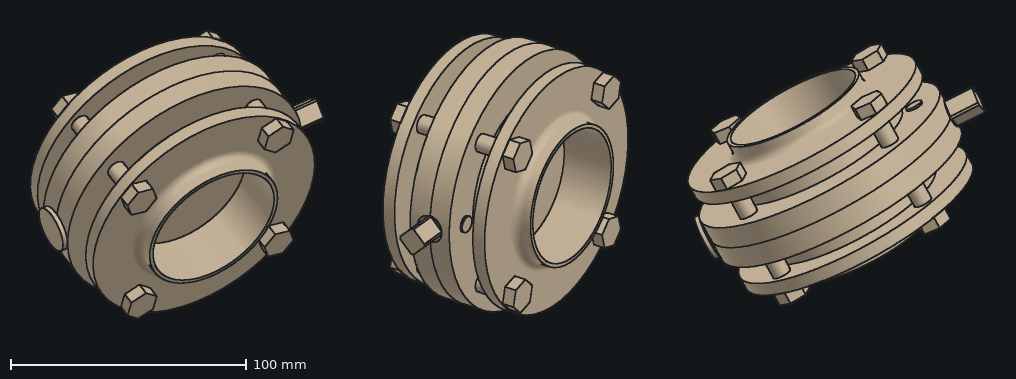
import cadquery as cq
import math

ring_radius = 58.0
ring_half_width = 10.0
hub_radius = 40.0
flange_radius = 55.0
flange_inner_x = 20.0
flange_outer_x = 26.0
pipe_outer_radius = 31.7
overall_width = 68.0
pipe_end_x = overall_width / 2
bore_radius = 30.0
weld_fillet = 4.0

bolt_count = 4
first_bolt_angle = 45
bolt_circle_radius = 48.0
rod_radius = 4.1
head_across_flats = 13.0
head_height = 5.5

boss_y = 45.8
boss_radius = 3.7
boss_height = 0.9

disc_half_thickness = ring_half_width
shaft_radius = 6.2
overall_length = 131.5
stem_top_y = 71.3
stem_square = 9.6
cap_radius = ring_half_width
cap_end_y = stem_top_y - overall_length


def y_cylinder(radius, start_y, end_y):
    """Cylinder along Y between two Y positions."""
    return cq.Workplane("XZ", origin=(0, start_y, 0)).circle(radius).extrude(start_y - end_y)


def turned_profile():
    """Ring, hub, flange and pipe of the +X half, turned about the X axis."""
    fillet_outer_radius = pipe_outer_radius + weld_fillet
    fillet_end_x = flange_outer_x + weld_fillet
    inset = weld_fillet * (1 - math.sqrt(0.5))
    return (
        cq.Workplane("XZ")
        .moveTo(0, bore_radius)
        .lineTo(0, ring_radius)
        .lineTo(ring_half_width, ring_radius)
        .lineTo(ring_half_width, hub_radius)
        .lineTo(flange_inner_x, hub_radius)
        .lineTo(flange_inner_x, flange_radius)
        .lineTo(flange_outer_x, flange_radius)
        .lineTo(flange_outer_x, fillet_outer_radius)
        .threePointArc(
            (flange_outer_x + inset, pipe_outer_radius + inset),
            (fillet_end_x, pipe_outer_radius),
        )
        .lineTo(pipe_end_x, pipe_outer_radius)
        .lineTo(pipe_end_x, bore_radius)
        .close()
        .revolve(360, (0, 0, 0), (1, 0, 0))
    )


def bolt(angle):
    """Rod from ring to flange with a hexagon head, one flat facing outward."""
    head_diameter = head_across_flats / math.cos(math.radians(30))
    rod = (
        cq.Workplane("YZ", origin=(ring_half_width, 0, 0))
        .center(bolt_circle_radius, 0)
        .circle(rod_radius)
        .extrude(flange_outer_x - ring_half_width)
    )
    head = (
        cq.Workplane("YZ", origin=(flange_outer_x, 0, 0))
        .center(bolt_circle_radius, 0)
        .transformed(rotate=(0, 0, 30))
        .polygon(6, head_diameter)
        .extrude(head_height)
    )
    return rod.union(head).rotate((0, 0, 0), (1, 0, 0), angle)


def pin_boss():
    """Short round boss on the side face of the ring, level with the shaft."""
    return (
        cq.Workplane("YZ", origin=(ring_half_width, 0, 0))
        .center(boss_y, 0)
        .circle(boss_radius)
        .extrude(boss_height)
    )


def body_half():
    """The +X half of the valve body, with its bolts and the shaft hole."""
    half = turned_profile()
    for index in range(bolt_count):
        half = half.union(bolt(first_bolt_angle + index * 360 / bolt_count))
    half = half.union(pin_boss())
    return half.cut(y_cylinder(shaft_radius, -ring_radius, ring_radius))


def closing_disc():
    """Disc across the bore, on a shaft with a bottom cap and a square top end."""
    disc = (
        cq.Workplane("YZ", origin=(-disc_half_thickness, 0, 0))
        .circle(bore_radius)
        .extrude(2 * disc_half_thickness)
    )
    shaft = y_cylinder(shaft_radius, -ring_radius, ring_radius)
    cap = y_cylinder(cap_radius, cap_end_y, -ring_radius)
    square = (
        cq.Workplane("XZ", origin=(0, ring_radius, 0))
        .transformed(rotate=(0, 0, 45))
        .rect(stem_square, stem_square)
        .extrude(ring_radius - stem_top_y)
    )
    stem = square.intersect(y_cylinder(shaft_radius, ring_radius, stem_top_y))
    return disc.union(shaft).union(cap).union(stem)


right_half = body_half()
left_half = right_half.mirror("YZ")
disc = closing_disc()

result = cq.Compound.makeCompound([right_half.val(), left_half.val(), disc.val()])